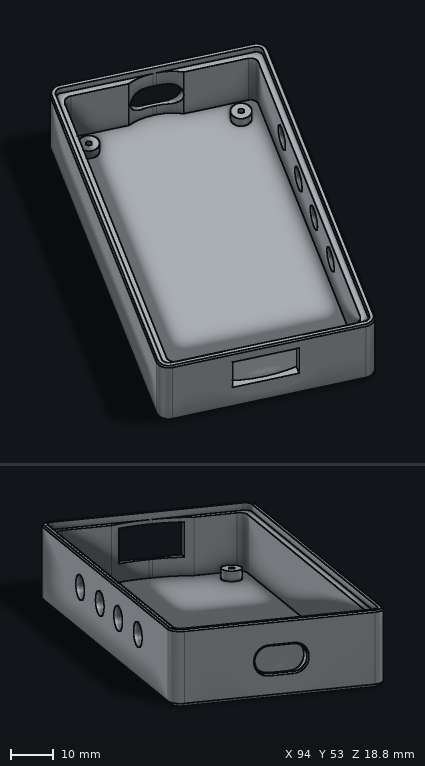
import cadquery as cq
import math

length = 94.0
width = 53.0
height = 18.8
corner_radius = 3.0
bottom_chamfer = 0.9
rim_chamfer = 0.4

floor_thickness = 2.8
cavity_length = 88.4
cavity_width = 47.0
cavity_radius = 2.0
step_wall = 1.3
step_depth = 1.8
step_z = height - step_depth

relief_depth = (length - cavity_length) / 2 - step_wall
relief_flat = 0.9
relief_y = -0.75
port_relief_span = 13.3
window_relief_span = 20.3

passage_length = 11.3
window_y = relief_y
port_length = 12.9
port_height = 6.8
port_y = -0.5
port_z = 9.3
port_chamfer = 0.4
window_width = 16.2
window_bottom = 7.3
window_top = 15.9

button_diameter = 6.0
button_z = 11.2
button_xs = (-22.9, -9.1, 3.8, 17.6)

standoff_diameter = 5.0
standoff_height = 2.5
pilot_diameter = 1.4
standoff_points = ((-39.0, 18.3), (38.8, 18.3), (-39.0, -18.6), (39.0, -18.4))


def rounded_block(size_x, size_y, radius, bottom, top):
    """Centred block with rounded vertical edges, from z = bottom to z = top."""
    block = cq.Workplane("XY").workplane(offset=bottom).rect(size_x, size_y).extrude(top - bottom)
    return block.edges("|Z").fillet(radius)


def make_tray():
    """Chamfered outer block with the cavity and the rim step removed."""
    tray = rounded_block(length, width, corner_radius, 0, height)
    tray = tray.faces("<Z").chamfer(bottom_chamfer)
    tray = tray.faces(">Z").chamfer(rim_chamfer)
    cavity = rounded_block(cavity_length, cavity_width, cavity_radius, floor_thickness, height)
    step_radius = corner_radius - step_wall
    step = rounded_block(length - 2 * step_wall, width - 2 * step_wall, step_radius, step_z, height)
    return tray.cut(cavity).cut(step)


def end_wall_relief(side, span, centre_y):
    """Short flat with a tangent arc on each side, sunk into the end wall at side = -1 or +1."""
    half_flat = relief_flat / 2
    run = span / 2 - half_flat
    arc_radius = (run**2 + relief_depth**2) / (2 * relief_depth)
    half_angle = math.asin(run / arc_radius) / 2
    mid_y = half_flat + arc_radius * math.sin(half_angle)
    mid_depth = relief_depth - arc_radius * (1 - math.cos(half_angle))
    wall_x = cavity_length / 2

    def point(depth, offset_y):
        return side * (wall_x + depth), centre_y + offset_y

    return (
        cq.Workplane("XY")
        .workplane(offset=floor_thickness)
        .moveTo(*point(0, -span / 2))
        .threePointArc(point(mid_depth, -mid_y), point(relief_depth, -half_flat))
        .lineTo(*point(relief_depth, half_flat))
        .threePointArc(point(mid_depth, mid_y), point(0, span / 2))
        .close()
        .extrude(step_z - floor_thickness)
    )


def port_opening():
    """Oblong opening through the -X wall, with a chamfered outer edge."""
    outer_wall = cq.Workplane("YZ", origin=(-length / 2, port_y, port_z))
    passage = outer_wall.slot2D(port_length, port_height).extrude(passage_length)
    countersink = (
        outer_wall.slot2D(port_length + 2 * port_chamfer, port_height + 2 * port_chamfer)
        .workplane(offset=port_chamfer)
        .slot2D(port_length, port_height)
        .loft(ruled=True)
    )
    return passage.union(countersink)


def window_opening():
    """Rectangular opening through the +X wall."""
    middle_z = (window_bottom + window_top) / 2
    outer_wall = cq.Workplane("YZ", origin=(length / 2, window_y, middle_z))
    return outer_wall.rect(window_width, window_top - window_bottom).extrude(-passage_length)


def button_holes():
    """Row of round holes through the +Y wall only."""
    return (
        cq.Workplane("XZ")
        .pushPoints([(x, button_z) for x in button_xs])
        .circle(button_diameter / 2)
        .extrude(-width / 2)
    )


def standoffs():
    """Hollow posts on the floor, one near each corner."""
    return (
        cq.Workplane("XY")
        .workplane(offset=floor_thickness)
        .pushPoints(standoff_points)
        .circle(standoff_diameter / 2)
        .circle(pilot_diameter / 2)
        .extrude(standoff_height)
    )


result = (
    make_tray()
    .cut(end_wall_relief(-1, port_relief_span, relief_y))
    .cut(end_wall_relief(1, window_relief_span, relief_y))
    .cut(port_opening())
    .cut(window_opening())
    .cut(button_holes())
    .union(standoffs())
)